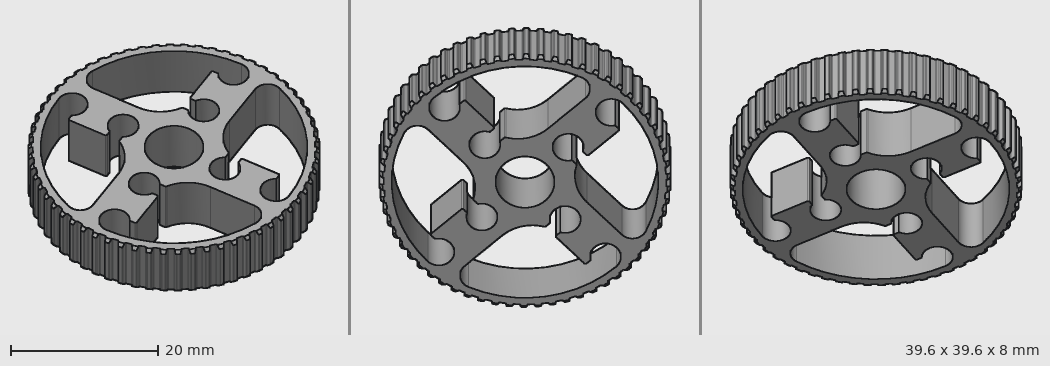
import math

import cadquery as cq

tooth_count = 62
thickness = 8.0
tooth_pitch = 2.032
pitch_line_height = 0.254
tip_radius = tooth_count * tooth_pitch / (2 * math.pi) - pitch_line_height
groove_depth = 0.65
root_radius = tip_radius - groove_depth
floor_width = 0.92
flank_angle = math.radians(20)
tip_fillet = 0.13
root_fillet = 0.13
rim_chamfer = 0.45

spoke_count = 4
bore_radius = 4.0
spoke_offset = 4.0

socket_radius = 2.1
inner_socket = 8.0
outer_socket = 16.0
slot_half_width = 1.0
tab_reach = 2.8
tab_fillet = 0.2

window_radius = outer_socket + socket_radius
hub_arc_radius = 6.0
hub_arc_start = 8.0
window_corner_radius = 2.0


def rotated(point, angle):
    """Turn a point about the axis by an angle in radians."""
    x, y = point
    return (
        x * math.cos(angle) - y * math.sin(angle),
        x * math.sin(angle) + y * math.cos(angle),
    )


def toward(center, target, distance):
    """Point at a distance from the center, in the direction of the target."""
    dx = target[0] - center[0]
    dy = target[1] - center[1]
    scale = distance / math.hypot(dx, dy)
    return (center[0] + dx * scale, center[1] + dy * scale)


def midpoint(first, second):
    """Point halfway between two points."""
    return ((first[0] + second[0]) / 2, (first[1] + second[1]) / 2)


def groove_side():
    """Right half of a groove centred on +Y, listed from the floor outward."""
    normal = (math.cos(flank_angle), -math.sin(flank_angle))
    floor_corner = (floor_width / 2, root_radius)
    shifted_corner = (
        floor_corner[0] + tip_fillet * normal[0],
        floor_corner[1] + tip_fillet * normal[1],
    )
    across = shifted_corner[0] * math.cos(flank_angle) - shifted_corner[1] * math.sin(flank_angle)
    along = math.sqrt((tip_radius - tip_fillet) ** 2 - across**2)
    fillet_center = rotated((across, along), -flank_angle)
    fillet_start = (
        fillet_center[0] - tip_fillet * normal[0],
        fillet_center[1] - tip_fillet * normal[1],
    )
    fillet_end = toward((0, 0), fillet_center, tip_radius)
    fillet_middle = toward(fillet_center, midpoint(fillet_start, fillet_end), tip_fillet)

    root_setback = root_fillet * math.tan((math.pi / 2 - flank_angle) / 2)
    root_center = (floor_corner[0] - root_setback, root_radius + root_fillet)
    root_start = (root_center[0], root_radius)
    root_end = (
        root_center[0] + root_fillet * normal[0],
        root_center[1] + root_fillet * normal[1],
    )
    root_middle = toward(root_center, midpoint(root_start, root_end), root_fillet)
    return root_start, root_middle, root_end, fillet_start, fillet_middle, fillet_end


def toothed_disc():
    """Disc with rounded teeth, one tooth centred on +X, chamfered at both ends."""
    pitch = 2 * math.pi / tooth_count
    groove = groove_side()
    mirrored_groove = [(-x, y) for x, y in groove]
    outline = cq.Workplane("XY").moveTo(*mirrored_groove[-1])
    for index in range(tooth_count):
        turn = -index * pitch
        right = [rotated(point, turn) for point in groove]
        left = [rotated(point, turn) for point in mirrored_groove]
        tooth_tip = rotated((0, tip_radius), turn - pitch / 2)
        next_groove = rotated(mirrored_groove[-1], turn - pitch)
        outline = (
            outline.threePointArc(left[4], left[3])
            .lineTo(*left[2])
            .threePointArc(left[1], left[0])
            .lineTo(*right[0])
            .threePointArc(right[1], right[2])
            .lineTo(*right[3])
            .threePointArc(right[4], right[5])
            .threePointArc(tooth_tip, next_groove)
        )
    disc = outline.close().extrude(thickness)
    envelope = cq.Workplane("XY").circle(tip_radius).extrude(thickness)
    envelope = envelope.faces("<Z or >Z").chamfer(rim_chamfer)
    return disc.intersect(envelope)


def window_cutter():
    """Window in the -X, +Y quadrant together with the two sockets on the +Y spoke."""
    mouth_x = -math.sqrt(socket_radius**2 - slot_half_width**2)
    tab_top = outer_socket - slot_half_width
    tab_bottom = inner_socket + slot_half_width
    lip = inner_socket - slot_half_width

    hub_center = (-hub_arc_start, spoke_offset + hub_arc_radius)
    hub_arc_end_x = hub_center[0] + math.sqrt(hub_arc_radius**2 - (hub_center[1] - lip) ** 2)
    hub_arc_end = (hub_arc_end_x, lip)
    hub_arc_tangent = (-hub_arc_start, spoke_offset)
    hub_chord_middle = midpoint(hub_arc_end, hub_arc_tangent)

    corner_y = spoke_offset + window_corner_radius
    corner_x = -math.sqrt((window_radius - window_corner_radius) ** 2 - corner_y**2)
    corner_center = (corner_x, corner_y)
    corner_start = (corner_x, spoke_offset)
    corner_end = toward((0, 0), corner_center, window_radius)
    corner_chord_middle = midpoint(corner_start, corner_end)
    window_chord_middle = midpoint(corner_end, (0, window_radius))
    window_middle = toward((0, 0), window_chord_middle, window_radius)

    cutter = (
        cq.Workplane("XY")
        .moveTo(0, window_radius)
        .threePointArc((socket_radius, outer_socket), (mouth_x, tab_top))
        .lineTo(-tab_reach, tab_top)
        .lineTo(-tab_reach, tab_bottom)
        .lineTo(mouth_x, tab_bottom)
        .threePointArc((socket_radius, inner_socket), (mouth_x, lip))
        .lineTo(*hub_arc_end)
        .threePointArc(toward(hub_center, hub_chord_middle, hub_arc_radius), hub_arc_tangent)
        .lineTo(*corner_start)
        .threePointArc(
            toward(corner_center, corner_chord_middle, window_corner_radius), corner_end
        )
        .threePointArc(window_middle, (0, window_radius))
        .close()
        .extrude(thickness)
    )
    middle = thickness / 2
    for x, y in [(-tab_reach, tab_top), (-tab_reach, tab_bottom), hub_arc_end]:
        corner_edge = cq.selectors.NearestToPointSelector((x, y, middle))
        cutter = cutter.edges("|Z").edges(corner_edge).fillet(tab_fillet)
    return cutter


def wheel():
    """Toothed disc with its bore and one window per spoke."""
    body = toothed_disc()
    bore = cq.Workplane("XY").circle(bore_radius).extrude(thickness)
    body = body.cut(bore)
    cutter = window_cutter()
    for index in range(spoke_count):
        body = body.cut(cutter.rotate((0, 0, 0), (0, 0, 1), index * 360 / spoke_count))
    return body


result = wheel()